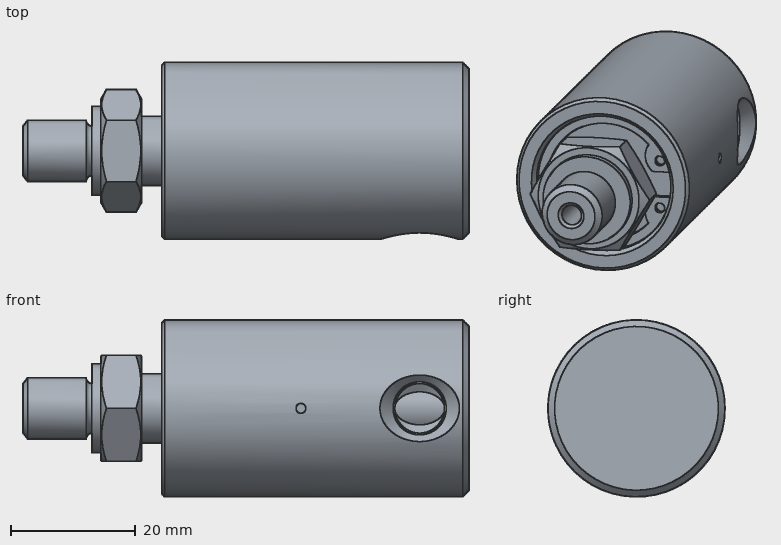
import cadquery as cq
import math


total_length = 71.5
collar_start = 11.1
hex_start = 12.5
hex_end = 19.0
housing_start = 22.2

thread_dia = 9.85
stub_tip_dia = 7.85
stub_tip_chamfer = 0.8
undercut_radius = 0.9
collar_dia = 14.3
rod_dia = 11.15

bore_dia = 3.2
bore_mouth_dia = 4.2
bore_depth = housing_start

hex_across_flats = 17.0
hex_face_dia = 16.6
hex_chamfer_angle = 30.0

housing_dia = 28.4
front_chamfer = 0.5
rear_chamfer = 1.1

recess_mouth_dia = 23.3
recess_dia = 22.1
recess_mouth_depth = 1.0
recess_depth = 3.3

ring_thickness = 1.0
ring_inner_dia = 19.15
lug_root = (-7.04, 6.4)
lug_crown = (-6.6, 4.15)
lug_tip_y = -7.7
ring_gap = 4.15
lug_hole_dia = 1.6
lug_hole_radius = 9.7
lug_hole_angle = 23.4

port_x = 63.55
port_mouth_dia = 12.7
port_dia = 8.5
port_drill_dia = 7.9
port_thread_end = 7.15
port_drill_end = 4.7
drill_point_angle = 120.0
core_dia = 9.5

vent_x = 44.5
vent_dia = 1.6
vent_depth = 2.85


def rod_along_x(diameter, start, end):
    return cq.Workplane("YZ", origin=(start, 0, 0)).circle(diameter / 2).extrude(end - start)


def cone_along_x(start_dia, end_dia, start, end):
    cone = cq.Solid.makeCone(start_dia / 2, end_dia / 2, end - start, cq.Vector(start, 0, 0), cq.Vector(1, 0, 0))
    return cq.Workplane(obj=cone)


def rod_along_y(diameter, x, start, end):
    plane = cq.Plane(origin=(x, start, 0), xDir=(1, 0, 0), normal=(0, 1, 0))
    return cq.Workplane(plane).circle(diameter / 2).extrude(end - start)


def cone_along_y(start_dia, end_dia, x, start, end):
    cone = cq.Solid.makeCone(start_dia / 2, end_dia / 2, end - start, cq.Vector(x, start, 0), cq.Vector(0, 1, 0))
    return cq.Workplane(obj=cone)


def make_threaded_stub():
    """Stub with a chamfered tip and a quarter-round undercut against the collar."""
    thread_radius = thread_dia / 2
    thread_end = collar_start - undercut_radius
    arc_offset = undercut_radius * math.cos(math.radians(45))
    return (
        cq.Workplane("XY")
        .lineTo(0, stub_tip_dia / 2)
        .lineTo(stub_tip_chamfer, thread_radius)
        .lineTo(thread_end, thread_radius)
        .threePointArc(
            (collar_start - arc_offset, thread_radius - arc_offset),
            (collar_start, thread_radius - undercut_radius),
        )
        .lineTo(collar_start, 0)
        .close()
        .revolve(360, (0, 0, 0), (1, 0, 0))
    )


def make_spindle():
    spindle = make_threaded_stub()
    spindle = spindle.union(rod_along_x(collar_dia, collar_start, hex_start))
    spindle = spindle.union(make_hexagon())
    return spindle.union(rod_along_x(rod_dia, hex_end, housing_start + recess_depth))


def make_hexagon():
    width = hex_end - hex_start
    corner_dia = hex_across_flats / math.cos(math.radians(30))
    chamfer = (corner_dia - hex_face_dia) / 2 * math.tan(math.radians(hex_chamfer_angle))
    hexagon = cq.Workplane("YZ", origin=(hex_start, 0, 0)).polygon(6, corner_dia).extrude(width)
    envelope = rod_along_x(corner_dia, hex_start, hex_end).faces("<X or >X").chamfer(
        chamfer, (corner_dia - hex_face_dia) / 2)
    return hexagon.intersect(envelope)


def make_housing():
    housing = rod_along_x(housing_dia, housing_start, total_length)
    housing = housing.faces("<X").chamfer(front_chamfer)
    housing = housing.faces(">X").chamfer(rear_chamfer)
    housing = housing.cut(cone_along_x(recess_mouth_dia, recess_dia, housing_start, housing_start + recess_mouth_depth))
    return housing.cut(rod_along_x(recess_dia, housing_start, housing_start + recess_depth))


def make_retaining_ring():
    end = housing_start + recess_depth
    start = end - ring_thickness
    disc = rod_along_x(recess_dia, start, end)
    ring = disc.cut(rod_along_x(ring_inner_dia, start, end))
    rim_y = -recess_dia / 2
    lug = (
        cq.Workplane("YZ", origin=(start, 0, 0))
        .moveTo(*lug_root)
        .threePointArc(lug_crown, (lug_tip_y, ring_gap / 2))
        .lineTo(rim_y, ring_gap / 2)
        .lineTo(rim_y, lug_root[1])
        .close()
        .extrude(ring_thickness)
        .intersect(disc)
    )
    ring = ring.union(lug).union(lug.mirror("XY"))
    gap = cq.Workplane("YZ", origin=(start, 0, 0)).center(rim_y, 0).rect(recess_dia, ring_gap)
    ring = ring.cut(gap.extrude(ring_thickness))
    hole_y = -lug_hole_radius * math.cos(math.radians(lug_hole_angle))
    hole_z = lug_hole_radius * math.sin(math.radians(lug_hole_angle))
    for side in (-1, 1):
        ring = ring.cut(rod_along_x(lug_hole_dia, start, end).translate((0, hole_y, side * hole_z)))
    return ring


def make_port():
    """Countersunk port with a conical drill point that stops on the solid core."""
    mouth_y = -housing_dia / 2
    countersink_end = mouth_y + (port_mouth_dia - port_dia) / 2
    point_length = port_drill_dia / 2 / math.tan(math.radians(drill_point_angle / 2))
    port = cone_along_y(port_mouth_dia, port_dia, port_x, mouth_y, countersink_end)
    port = port.union(rod_along_y(port_dia, port_x, countersink_end, -port_thread_end))
    port = port.union(rod_along_y(port_drill_dia, port_x, -port_thread_end, -port_drill_end))
    port = port.union(cone_along_y(port_drill_dia, 0, port_x, -port_drill_end, point_length - port_drill_end))
    return port.cut(rod_along_x(core_dia, housing_start, total_length))


def make_axial_bore():
    mouth_depth = (bore_mouth_dia - bore_dia) / 2
    bore = rod_along_x(bore_dia, 0, bore_depth)
    return bore.union(cone_along_x(bore_mouth_dia, bore_dia, 0, mouth_depth))


housing_radius = housing_dia / 2
vent = rod_along_y(vent_dia, vent_x, -housing_radius, vent_depth - housing_radius)

result = make_housing().union(make_retaining_ring()).union(make_spindle())
result = result.cut(make_axial_bore()).cut(make_port()).cut(vent)